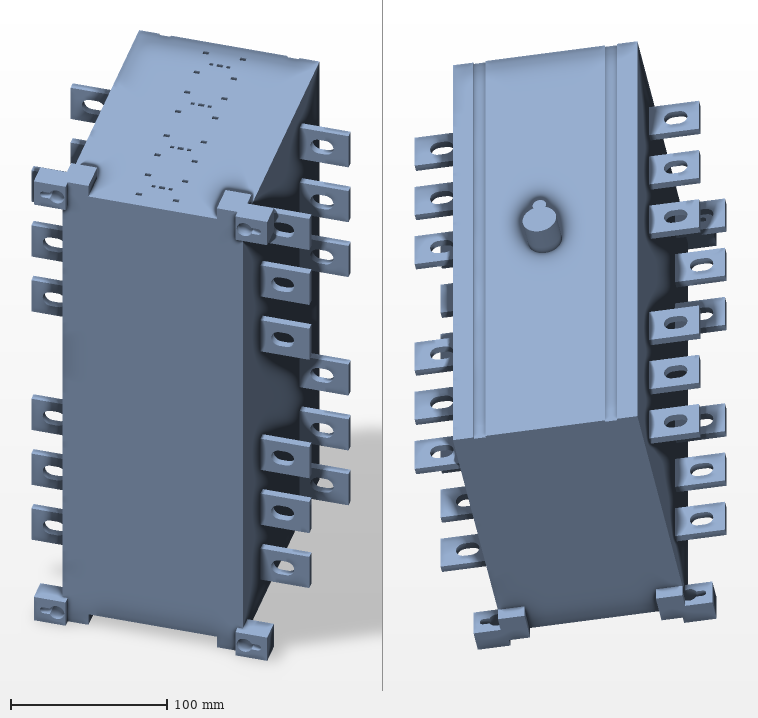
import cadquery as cq

TOTAL_WIDTH = 185.0
TOTAL_HEIGHT = 353.0
BODY_WIDTH = 120.0
BODY_DEPTH = 177.5
BODY_HEIGHT = 336.0

FOOT_PROJECTION = 5.0
FOOT_SPAN = 155.3
FOOT_INNER_SPAN = 113.0
FOOT_HEIGHT = 18.7
FOOT_DEPTH = 15.2
STRAP_INNER_SPAN = 85.5
STRAP_DEPTH = 20.0
KEYHOLE_DIAMETER = 10.2
KEYHOLE_X = 62.5
KEYHOLE_DEPTH = 22.2
KEYHOLE_SLOT_WIDTH = 4.5
KEYHOLE_SLOT_END_X = 71.3

TERMINAL_HEIGHT = 25.0
TERMINAL_THICKNESS = 5.0
TERMINAL_ROW_Y = (43.5, 134.0)
TERMINAL_GROUP_Z = 91.8
TERMINAL_PITCH = 44.0
TERMINAL_SLOT_X = {-1: 77.3, 1: 75.0}
TERMINAL_SLOT_LENGTH = 15.2
TERMINAL_SLOT_WIDTH = 11.0

SHAFT_DIAMETER = 22.0
SHAFT_LENGTH = 20.0
NOSE_DIAMETER = 9.0
NOSE_REACH = 17.0

GROOVE_X = 42.7
GROOVE_WIDTH = 7.8
GROOVE_DEPTH = 1.25

RECESS_DEPTH = 1.8
RECESS_GROUP_OFFSET = 21.5
RECESS_LENGTH = 4.0
RECESS_WIDTH = 3.0
CORNER_RECESS_X = 12.5
CORNER_RECESS_Y = 10.5
SIDE_RECESS_X = 5.5
SIDE_RECESS_SIZE = 2.5


def block(x_min, x_max, y_min, y_max, z_min, z_max):
    size = (x_max - x_min, y_max - y_min, z_max - z_min)
    return cq.Workplane("XY").box(*size, centered=False).translate((x_min, y_min, z_min))


def mirrored(shape):
    """The shape together with its mirror image across the YZ plane."""
    return shape.union(shape.mirror("YZ"))


def mirrored_four(shape):
    """The shape repeated in all four corners of the XZ plane."""
    pair = mirrored(shape)
    return pair.union(pair.mirror("XY"))


def foot():
    """Mounting block beside the body with a strap lying on the end face of the body."""
    top = TOTAL_HEIGHT / 2
    base = block(FOOT_INNER_SPAN / 2, FOOT_SPAN / 2,
                 -FOOT_PROJECTION, FOOT_DEPTH - FOOT_PROJECTION, top - FOOT_HEIGHT, top)
    strap = block(STRAP_INNER_SPAN / 2, BODY_WIDTH / 2, 0, STRAP_DEPTH, BODY_HEIGHT / 2, top)
    return base.union(strap)


def keyhole():
    """Keyhole whose round entry runs on past the block, with a slot reaching outward."""
    z = (TOTAL_HEIGHT - FOOT_HEIGHT) / 2
    front = cq.Workplane("XZ", origin=(0, -FOOT_PROJECTION, 0))
    entry = front.center(KEYHOLE_X, z).circle(KEYHOLE_DIAMETER / 2).extrude(-KEYHOLE_DEPTH)
    slot_length = KEYHOLE_SLOT_END_X - KEYHOLE_X + KEYHOLE_SLOT_WIDTH
    slot_x = (KEYHOLE_X + KEYHOLE_SLOT_END_X) / 2
    slot = front.center(slot_x, z).slot2D(slot_length, KEYHOLE_SLOT_WIDTH).extrude(-FOOT_DEPTH)
    return entry.union(slot)


def terminal(side, y, z):
    """Slotted tab on the -X side (side = -1) or the +X side (side = 1)."""
    half_thickness = TERMINAL_THICKNESS / 2
    half_height = TERMINAL_HEIGHT / 2
    x_min, x_max = sorted((side * BODY_WIDTH / 2, side * TOTAL_WIDTH / 2))
    tab = block(x_min, x_max, y - half_thickness, y + half_thickness, z - half_height, z + half_height)
    slot = (cq.Workplane("XZ", origin=(side * TERMINAL_SLOT_X[side], y, z))
            .slot2D(TERMINAL_SLOT_LENGTH, TERMINAL_SLOT_WIDTH)
            .extrude(TERMINAL_THICKNESS, both=True))
    return tab.cut(slot)


def shaft():
    """Round barrel with a small round nose on its upper side."""
    back = cq.Workplane("XZ", origin=(0, BODY_DEPTH, 0))
    barrel = back.circle(SHAFT_DIAMETER / 2).extrude(-SHAFT_LENGTH)
    nose = back.center(0, NOSE_REACH - NOSE_DIAMETER / 2).circle(NOSE_DIAMETER / 2).extrude(-SHAFT_LENGTH)
    return barrel.union(nose)


def recesses():
    """Groups of five recesses and two side recesses, in front of and behind each terminal row."""
    group_rows = [row + side * RECESS_GROUP_OFFSET for row in TERMINAL_ROW_Y for side in (-1, 1)]
    large = []
    small = []
    for y in group_rows:
        large.append((0, y))
        for side in (-1, 1):
            small.append((side * SIDE_RECESS_X, y))
            large.append((side * CORNER_RECESS_X, y - CORNER_RECESS_Y))
            large.append((side * CORNER_RECESS_X, y + CORNER_RECESS_Y))
    top = cq.Workplane("XY", origin=(0, 0, BODY_HEIGHT / 2))
    large_cut = top.pushPoints(large).rect(RECESS_LENGTH, RECESS_WIDTH).extrude(-RECESS_DEPTH)
    small_cut = top.pushPoints(small).rect(SIDE_RECESS_SIZE, SIDE_RECESS_SIZE).extrude(-RECESS_DEPTH)
    return large_cut.union(small_cut)


def groove():
    """Shallow groove over the full height of the back face."""
    return block(GROOVE_X - GROOVE_WIDTH / 2, GROOVE_X + GROOVE_WIDTH / 2,
                 BODY_DEPTH - GROOVE_DEPTH, BODY_DEPTH, -BODY_HEIGHT / 2, BODY_HEIGHT / 2)


body = block(-BODY_WIDTH / 2, BODY_WIDTH / 2, 0, BODY_DEPTH, -BODY_HEIGHT / 2, BODY_HEIGHT / 2)
result = body.union(mirrored_four(foot())).union(shaft())
terminal_levels = [group * TERMINAL_GROUP_Z + step * TERMINAL_PITCH
                   for group in (-1, 1) for step in (-1, 0, 1)]
for row_y in TERMINAL_ROW_Y:
    for level in terminal_levels:
        for side in (-1, 1):
            result = result.union(terminal(side, row_y, level))
result = result.cut(mirrored_four(keyhole())).cut(mirrored(groove())).cut(recesses())